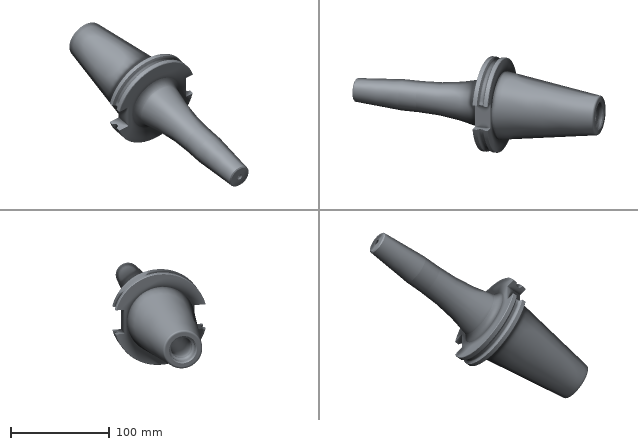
import cadquery as cq
import math

total_length = 261.5
taper_end = 102.5
flange_start = 104.5
flange_end = 120.9
blend_end = 127.7
neck_start = 192.0
neck_end = 210.9

taper_radius = 70.0 / 2
taper_rate = 7 / 24
tail_radius = taper_radius - taper_end * taper_rate / 2
tail_round = 2.0
relief_start = 103.3
relief_radius = 34.8

flange_radius = 97.3 / 2
flange_chamfer = 0.5
groove_radius = 45.5
groove_bottom_width = 3.7
groove_wall_angle = 30
groove_center = 112.5
groove_corner_round = 1.0

slot_width = 25.6
slot_floor_plus_y = 37.7
slot_floor_minus_y = 35.3

blend_radius = 24.3
neck_radius = 32.0 / 2
nose_radius = 12.0
nose_chamfer = 1.0
flange_fillet = 10.5

mouth_radius = 29.0 / 2
counterbore_radius = 26.7 / 2
counterbore_depth = 4.2
step_radius = 26.2 / 2
step_depth = 5.2
thread_radius = 22.2 / 2
thread_depth = 47.0
drill_point_angle = 118
through_radius = 6.0 / 2


def arc_point(center, radius, angle):
    """Point on a circle, with the angle in radians from +X."""
    return (center[0] + radius * math.cos(angle), center[1] + radius * math.sin(angle))


def revolve_x(profile):
    """Revolve an (x, radius) outline a full turn around the X axis."""
    return profile.close().revolve(360, (0, 0, 0), (1, 0, 0))


def make_body():
    sweep_length = neck_start - blend_end
    sweep_drop = blend_radius - neck_radius
    sweep_radius = (sweep_length**2 + sweep_drop**2) / (2 * sweep_drop)
    sweep_center = (neck_start, neck_radius + sweep_radius)
    sweep_angle = math.asin(sweep_length / sweep_radius)
    sweep_mid = arc_point(sweep_center, sweep_radius, -math.pi / 2 - sweep_angle / 2)

    fillet_start_angle = -math.pi / 2 - sweep_angle
    fillet_center = (
        blend_end + flange_fillet * math.sin(sweep_angle),
        blend_radius + flange_fillet * math.cos(sweep_angle),
    )
    fillet_end_angle = -math.acos((flange_end - fillet_center[0]) / flange_fillet)
    fillet_mid_angle = (fillet_start_angle + fillet_end_angle) / 2
    fillet_mid = arc_point(fillet_center, flange_fillet, fillet_mid_angle)
    fillet_end = arc_point(fillet_center, flange_fillet, fillet_end_angle)

    groove_half_bottom = groove_bottom_width / 2
    groove_depth = flange_radius - groove_radius
    groove_half_top = groove_half_bottom + groove_depth * math.tan(math.radians(groove_wall_angle))

    profile = (
        cq.Workplane("XY")
        .moveTo(0, 0)
        .lineTo(0, tail_radius)
        .lineTo(taper_end, taper_radius)
        .lineTo(relief_start, relief_radius)
        .lineTo(flange_start, relief_radius)
        .lineTo(flange_start, flange_radius - flange_chamfer)
        .lineTo(flange_start + flange_chamfer, flange_radius)
        .lineTo(groove_center - groove_half_top, flange_radius)
        .lineTo(groove_center - groove_half_bottom, groove_radius)
        .lineTo(groove_center + groove_half_bottom, groove_radius)
        .lineTo(groove_center + groove_half_top, flange_radius)
        .lineTo(flange_end - flange_chamfer, flange_radius)
        .lineTo(flange_end, flange_radius - flange_chamfer)
        .lineTo(*fillet_end)
        .threePointArc(fillet_mid, (blend_end, blend_radius))
        .threePointArc(sweep_mid, (neck_start, neck_radius))
        .lineTo(neck_end, neck_radius)
        .lineTo(total_length, nose_radius)
        .lineTo(total_length, 0)
    )
    body = revolve_x(profile)
    selection_margin = 0.3
    groove_floor = cq.selectors.BoxSelector(
        (groove_center - groove_half_bottom - selection_margin, -flange_radius, -flange_radius),
        (groove_center + groove_half_bottom + selection_margin, flange_radius, flange_radius),
        boundingbox=True,
    )
    body = body.edges(groove_floor).edges("%CIRCLE").fillet(groove_corner_round)
    body = body.faces("<X").edges().fillet(tail_round)
    return body.faces(">X").edges().chamfer(nose_chamfer)


def make_bore():
    mouth_chamfer = mouth_radius - counterbore_radius
    step_chamfer = step_radius - thread_radius
    half_point = math.radians(drill_point_angle / 2)
    point_end = thread_depth + (thread_radius - through_radius) / math.tan(half_point)
    profile = (
        cq.Workplane("XY")
        .moveTo(0, 0)
        .lineTo(0, mouth_radius)
        .lineTo(mouth_chamfer, counterbore_radius)
        .lineTo(counterbore_depth, counterbore_radius)
        .lineTo(step_depth, step_radius)
        .lineTo(step_depth + step_chamfer, thread_radius)
        .lineTo(thread_depth, thread_radius)
        .lineTo(point_end, through_radius)
        .lineTo(total_length, through_radius)
        .lineTo(total_length, 0)
    )
    return revolve_x(profile)


def make_slot(floor, side):
    """Drive slot with its floor at the given distance from the axis; side is +1 or -1 along Y."""
    slot_depth = flange_radius - floor
    return cq.Workplane("XY").box(flange_end - flange_start, slot_depth, slot_width).translate(
        ((flange_start + flange_end) / 2, side * (floor + slot_depth / 2), 0)
    )


result = make_body().cut(make_bore())
for slot_floor, slot_side in ((slot_floor_plus_y, 1), (slot_floor_minus_y, -1)):
    result = result.cut(make_slot(slot_floor, slot_side))